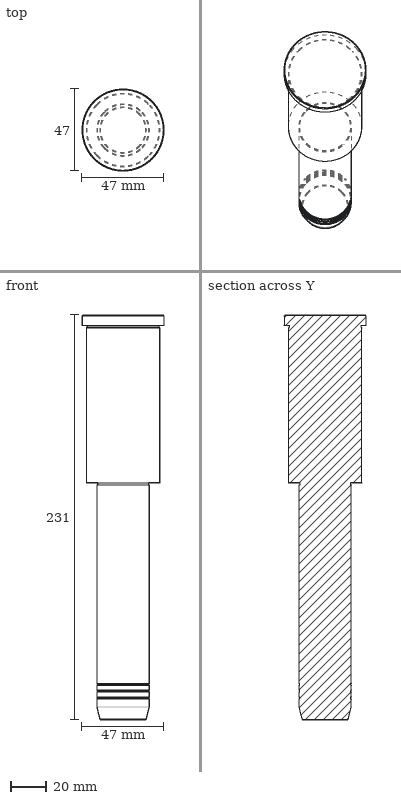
import cadquery as cq

total_length = 231.0
head_diameter = 47.0
body_diameter = 42.0
shank_diameter = 30.0

head_height = 6.0
head_and_body_length = 95.6
head_edge_chamfer = 0.5

relief_width = 1.2
relief_depth = 0.5
head_relief_slope_height = 0.5

groove_count = 3
first_groove_height = 12.5
groove_pitch = 4.0
groove_width = 1.2
groove_depth = 0.5

lead_in_height = 7.5
lead_in_end_diameter = 26.5
tip_chamfer = 0.5


def cylinder(diameter, bottom, top):
    """Solid cylinder on the Z axis between two heights."""
    return cq.Workplane("XY").workplane(offset=bottom).circle(diameter / 2).extrude(top - bottom)


def revolved(points):
    """Solid of revolution about the Z axis from (radius, height) points."""
    return cq.Workplane("XZ").polyline(points).close().revolve(360, (0, 0, 0), (0, 1, 0))


def v_groove_cutter(center_height):
    """Ring with a triangular section that cuts one oil groove into the shank."""
    radius = shank_diameter / 2
    half_width = groove_width / 2
    return revolved(
        [
            (radius, center_height + half_width),
            (radius - groove_depth, center_height),
            (radius, center_height - half_width),
        ]
    )


def relief_cutter(diameter, shoulder_height, slope_height):
    """Ring that cuts a recess directly below a shoulder, sloping out over its lowest part."""
    radius = diameter / 2
    bottom = shoulder_height - relief_width
    return revolved(
        [
            (radius, shoulder_height),
            (radius - relief_depth, shoulder_height),
            (radius - relief_depth, bottom + slope_height),
            (radius, bottom),
        ]
    )


def make_shank(top):
    """Shank with a tapered lead-in and a small chamfer at its lower end."""
    radius = shank_diameter / 2
    tip_radius = lead_in_end_diameter / 2
    return revolved(
        [
            (0, 0),
            (tip_radius - tip_chamfer, 0),
            (tip_radius, tip_chamfer),
            (radius, lead_in_height),
            (radius, top),
            (0, top),
        ]
    )


head_bottom = total_length - head_height
body_bottom = total_length - head_and_body_length

head = cylinder(head_diameter, head_bottom, total_length).faces(">Z").edges().chamfer(head_edge_chamfer)
body = cylinder(body_diameter, body_bottom, head_bottom)
result = make_shank(body_bottom).union(body).union(head)

result = result.cut(relief_cutter(body_diameter, head_bottom, head_relief_slope_height))
result = result.cut(relief_cutter(shank_diameter, body_bottom, slope_height=0))

for index in range(groove_count):
    result = result.cut(v_groove_cutter(first_groove_height + index * groove_pitch))